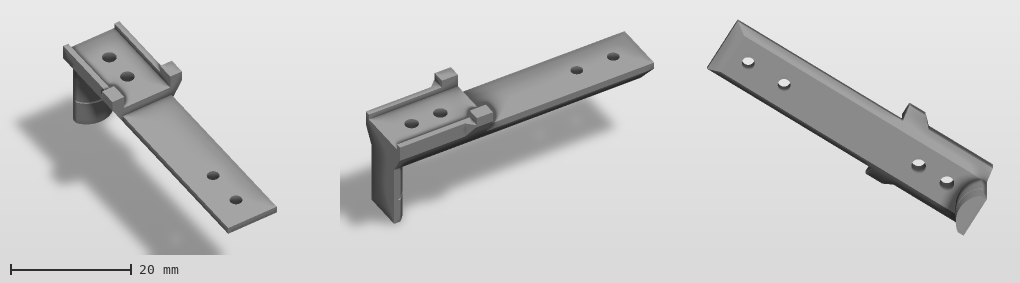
import cadquery as cq
import math

LENGTH = 49.3
POST_HALF_WIDTH = 6.85
HEIGHT_ABOVE = 7.5
LEG_DROP = 11.55

BASE_HALF_WIDTH = 3.65
FLANK_ANGLE = 60.0
RAIL_HALF_WIDTH = 5.5
FLOOR_HALF_WIDTH = 4.55
FLOOR_HEIGHT = 5.05
RAIL_HEIGHT = 6.05
BEAM_HALF_WIDTH = 4.8
BEAM_HEIGHT = 3.25

FLARE_START = 12.5
POST_START = 14.0
HEAD_END = 17.1

LEG_SIDE_THICKNESS = 1.15
LEG_THICKNESS = 3.0
GROOVE_RADIUS = 0.25
GROOVE_DEPTH_BELOW = 6.6

HEAD_HOLE_DIAMETER = 2.4
HEAD_HOLES_X = (5.5, 11.05)
BEAM_HOLE_DIAMETER = 2.1
BEAM_HOLES_X = (37.25, 44.25)

FLANK_SLOPE = math.tan(math.radians(FLANK_ANGLE))


def flank_height(half_width):
    """Height at which the sloping flank reaches a half width."""
    return (half_width - BASE_HALF_WIDTH) * FLANK_SLOPE


def flanked_bar(half_width, height, start, end):
    """Bar along X with sloping lower flanks and upright upper sides."""
    shoulder = flank_height(half_width)
    return (
        cq.Workplane("YZ", origin=(start, 0, 0))
        .polyline([
            (-BASE_HALF_WIDTH, 0),
            (BASE_HALF_WIDTH, 0),
            (half_width, shoulder),
            (half_width, height),
            (-half_width, height),
            (-half_width, shoulder),
        ])
        .close()
        .extrude(end - start)
    )


def make_head():
    """Channel with low rails that flare at 45 degrees into two end posts."""
    flare_end = FLARE_START + POST_HALF_WIDTH - RAIL_HALF_WIDTH
    plan = (
        cq.Workplane("XY")
        .polyline([
            (0, -RAIL_HALF_WIDTH),
            (FLARE_START, -RAIL_HALF_WIDTH),
            (flare_end, -POST_HALF_WIDTH),
            (HEAD_END, -POST_HALF_WIDTH),
            (HEAD_END, POST_HALF_WIDTH),
            (flare_end, POST_HALF_WIDTH),
            (FLARE_START, RAIL_HALF_WIDTH),
            (0, RAIL_HALF_WIDTH),
        ])
        .close()
        .extrude(HEIGHT_ABOVE)
    )
    above_rails = cq.Workplane("XY").box(
        POST_START, 2 * POST_HALF_WIDTH, HEIGHT_ABOVE - RAIL_HEIGHT, centered=(False, True, False)
    ).translate((0, 0, RAIL_HEIGHT))
    channel = cq.Workplane("XY").box(
        HEAD_END, 2 * FLOOR_HALF_WIDTH, HEIGHT_ABOVE - FLOOR_HEIGHT, centered=(False, True, False)
    ).translate((0, 0, FLOOR_HEIGHT))
    bar = flanked_bar(POST_HALF_WIDTH, HEIGHT_ABOVE, 0, HEAD_END)
    return bar.intersect(plan).cut(above_rails).cut(channel)


def make_beam():
    """Long flat beam, its tip bevelled at 45 degrees up to the upright edge."""
    bevel = flank_height(BEAM_HALF_WIDTH)
    tip = (
        cq.Workplane("XZ")
        .polyline([(LENGTH - bevel, 0), (LENGTH, 0), (LENGTH, bevel)])
        .close()
        .extrude(BEAM_HALF_WIDTH, both=True)
    )
    return flanked_bar(BEAM_HALF_WIDTH, BEAM_HEIGHT, HEAD_END, LENGTH).cut(tip)


def make_leg():
    """Hanging leg with a bowed inner face and a round groove across it."""
    bow = LEG_THICKNESS - LEG_SIDE_THICKNESS
    bow_radius = (BASE_HALF_WIDTH**2 + bow**2) / (2 * bow)
    leg = (
        cq.Workplane("XY")
        .moveTo(0, -BASE_HALF_WIDTH)
        .lineTo(LEG_SIDE_THICKNESS, -BASE_HALF_WIDTH)
        .threePointArc((LEG_THICKNESS, 0), (LEG_SIDE_THICKNESS, BASE_HALF_WIDTH))
        .lineTo(0, BASE_HALF_WIDTH)
        .close()
        .extrude(-LEG_DROP)
    )
    groove = cq.Workplane("XY").add(
        cq.Solid.makeTorus(
            bow_radius,
            GROOVE_RADIUS,
            cq.Vector(LEG_THICKNESS - bow_radius, 0, -GROOVE_DEPTH_BELOW),
            cq.Vector(0, 0, 1),
        )
    )
    return leg.cut(groove)


def hole_pins(diameter, places):
    """Cylinders through the full height at places along the centre line."""
    return (
        cq.Workplane("XY")
        .pushPoints([(x, 0) for x in places])
        .circle(diameter / 2)
        .extrude(HEIGHT_ABOVE)
    )


result = (
    make_head()
    .union(make_beam())
    .union(make_leg())
    .cut(hole_pins(HEAD_HOLE_DIAMETER, HEAD_HOLES_X))
    .cut(hole_pins(BEAM_HOLE_DIAMETER, BEAM_HOLES_X))
)